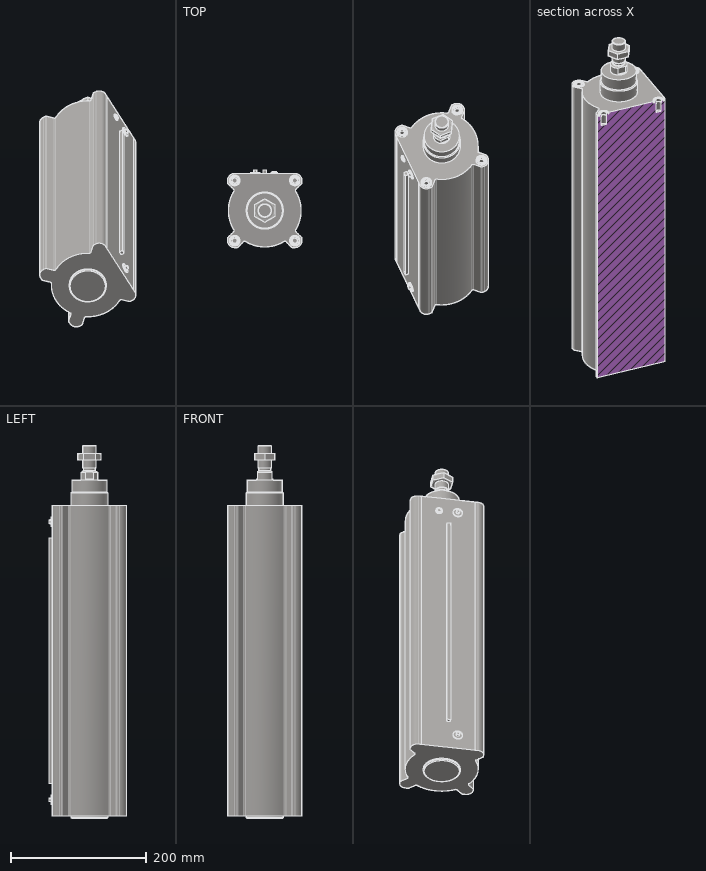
import cadquery as cq
import math

barrel_length = 459.0
barrel_radius = 54.0
lug_offset = 44.5
lug_radius = 10.5
lug_face = lug_radius * math.tan(math.radians(22.5))
flat_reach = lug_offset + lug_radius
corner_fillet = 2.0
lug_edge_fillet = 2.0

recess_diameter = 15.8
recess_depth = 3.0
bolt_head_diameter = 15.0
bolt_socket_diameter = 8.38
bolt_socket_depth = 5.0
bolt_thread_depth = 15.0
bolt_head_chamfer = 1.5
bolt_thread_diameter = 7.4

collar_diameter = 55.0
collar_chamfer = 1.5
top_collar_height = 20.0
bottom_collar_height = 3.5
neck_diameter = 52.0
neck_height = 17.5

rail_width = 5.5
rail_length = 363.0
fitting_reach = 5.0
fitting_offset = 14.0
screw_end_distance = 24.0
screw_base_diameter = 14.0
screw_base_height = 1.5
screw_head_diameter = 5.0
plug_base_diameter = 10.0
plug_base_height = 1.5
plug_top_diameter = 6.5
plug_height = 3.0

rod_diameter = 25.0
rod_flat_width = 22.0
rod_foot_height = 1.5
rod_body_height = 11.5
cone_height = 1.7
shoulder_diameter = 18.63
shoulder_height = 1.0
undercut_diameter = 17.9
undercut_height = 3.8
thread_diameter = 20.0
thread_core_diameter = 18.38
thread_length = 33.5

nut_width = 30.0
nut_thickness = 10.0
nut_face_diameter = 28.5
nut_chamfer_height = 0.5
nut_below_end = 12.0

neck_top = barrel_length + top_collar_height + neck_height
rod_top = (
    neck_top
    + rod_body_height
    + cone_height
    + shoulder_height
    + undercut_height
    + thread_length
)
nut_bottom = rod_top - nut_below_end - nut_thickness


def lug_profile():
    """Lug in the (+X, +Y) corner: rounded outside, 45 degree flanks running to the barrel axis."""
    axis = lug_offset
    inner = lug_offset - lug_face
    arc_mid = axis + lug_radius * math.sqrt(0.5)
    flank_end = flat_reach - inner
    return (
        cq.Workplane("XY")
        .moveTo(inner, flat_reach)
        .lineTo(axis, flat_reach)
        .threePointArc((arc_mid, arc_mid), (flat_reach, axis))
        .lineTo(flat_reach, inner)
        .lineTo(flank_end, 0)
        .lineTo(0, 0)
        .lineTo(0, flank_end)
        .close()
    )


def make_lug():
    lug = lug_profile().extrude(barrel_length)
    inner = lug_offset - lug_face
    for x, y in ((flat_reach, inner), (inner, flat_reach)):
        flank_edge = cq.selectors.NearestToPointSelector((x, y, barrel_length / 2))
        lug = lug.edges("|Z").edges(flank_edge).fillet(lug_edge_fillet)
    return lug


def lug_corners():
    """Points where the lug flanks leave the tube, without the two that the back fills."""
    along = math.sqrt(barrel_radius ** 2 - lug_radius ** 2)
    near = (along - lug_radius) * math.sqrt(0.5)
    far = (along + lug_radius) * math.sqrt(0.5)
    corners = []
    for side in (-1, 1):
        corners += [(side * far, near), (side * far, -near), (side * near, -far)]
    return corners


def barrel_body():
    body = cq.Workplane("XY").circle(barrel_radius).extrude(barrel_length)
    lug = make_lug()
    for quarter in range(4):
        body = body.union(lug.rotate((0, 0, 0), (0, 0, 1), 90 * quarter))
    flat_back = (
        cq.Workplane("XY")
        .center(0, flat_reach / 2)
        .rect(2 * (lug_offset - lug_face), flat_reach)
        .extrude(barrel_length)
    )
    body = body.union(flat_back)
    for x, y in lug_corners():
        corner_edge = cq.selectors.NearestToPointSelector((x, y, barrel_length / 2))
        body = body.edges("|Z").edges(corner_edge).fillet(corner_fillet)
    return body


def bolt_recess():
    """Space around one tie bolt: a groove around its chamfered head and a stepped bore inside it."""
    head = (
        cq.Workplane("XY")
        .circle(bolt_head_diameter / 2)
        .extrude(-recess_depth)
        .faces(">Z")
        .chamfer(bolt_head_chamfer)
    )
    counterbore = cq.Workplane("XY").circle(recess_diameter / 2).extrude(-recess_depth)
    socket = cq.Workplane("XY").circle(bolt_socket_diameter / 2).extrude(-bolt_socket_depth)
    thread_end = bolt_socket_depth + bolt_thread_depth
    thread = cq.Workplane("XY").circle(bolt_thread_diameter / 2).extrude(-thread_end)
    return counterbore.cut(head).union(socket).union(thread)


def collars():
    bottom = (
        cq.Workplane("XY")
        .circle(collar_diameter / 2)
        .extrude(-bottom_collar_height)
        .faces("<Z")
        .chamfer(collar_chamfer)
    )
    top = (
        cq.Workplane("XY", origin=(0, 0, barrel_length))
        .circle(collar_diameter / 2)
        .extrude(top_collar_height)
        .faces(">Z")
        .chamfer(collar_chamfer)
        .faces(">Z")
        .workplane()
        .circle(neck_diameter / 2)
        .extrude(neck_height)
    )
    return bottom, top


def back_disc(x, z, diameter, height):
    """Disc standing on the +Y flat."""
    return (
        cq.Workplane("XZ", origin=(x, flat_reach, z))
        .circle(diameter / 2)
        .extrude(-height)
    )


def back_fittings():
    rail = (
        cq.Workplane("XY")
        .box(rail_width, fitting_reach, rail_length)
        .translate((0, flat_reach + fitting_reach / 2, barrel_length / 2))
    )
    fittings = [rail]
    upper = barrel_length - screw_end_distance
    for z in (screw_end_distance, upper):
        fittings.append(back_disc(-fitting_offset, z, screw_base_diameter, screw_base_height))
        fittings.append(back_disc(-fitting_offset, z, screw_head_diameter, fitting_reach))
    fittings.append(back_disc(fitting_offset, upper, plug_base_diameter, plug_base_height))
    fittings.append(back_disc(fitting_offset, upper, plug_top_diameter, plug_height))
    return fittings


def make_housing():
    body = barrel_body()
    recess = bolt_recess()
    for x in (-lug_offset, lug_offset):
        for y in (-lug_offset, lug_offset):
            body = body.cut(recess.translate((x, y, barrel_length)))
    for feature in (*collars(), *back_fittings()):
        body = body.union(feature)
    return body


def make_rod():
    body = (
        cq.Workplane("XY", origin=(0, 0, neck_top))
        .circle(rod_diameter / 2)
        .extrude(rod_body_height)
    )
    flats = (
        cq.Workplane("XY", origin=(0, 0, neck_top))
        .rect(rod_flat_width, 2 * rod_diameter)
        .extrude(rod_top - neck_top)
    )
    foot = (
        cq.Workplane("XY", origin=(0, 0, neck_top))
        .circle(rod_diameter / 2)
        .extrude(rod_foot_height)
    )
    cone_base = neck_top + rod_body_height
    cone = (
        cq.Workplane("XY", origin=(0, 0, cone_base))
        .circle(rod_diameter / 2)
        .workplane(offset=cone_height)
        .circle(shoulder_diameter / 2)
        .loft()
    )
    end = (
        cq.Workplane("XY", origin=(0, 0, cone_base + cone_height))
        .circle(shoulder_diameter / 2)
        .extrude(shoulder_height)
        .faces(">Z")
        .workplane()
        .circle(undercut_diameter / 2)
        .extrude(undercut_height)
        .faces(">Z")
        .workplane()
        .circle(thread_diameter / 2)
        .extrude(thread_length)
        .faces(">Z")
        .chamfer((thread_diameter - thread_core_diameter) / 2)
    )
    return body.union(cone).intersect(flats).union(foot).union(end)


def make_nut():
    """Hexagon nut with corners on +Y and -Y and conically chamfered end faces."""
    across_corners = nut_width / math.cos(math.radians(30))
    hexagon = (
        cq.Workplane("XY", origin=(0, 0, nut_bottom))
        .polygon(6, across_corners)
        .extrude(nut_thickness)
        .rotate((0, 0, 0), (0, 0, 1), 30)
    )
    face_radius = nut_face_diameter / 2
    corner_radius = across_corners / 2
    nut_top = nut_bottom + nut_thickness
    chamfer_envelope = (
        cq.Workplane("XZ")
        .moveTo(0, nut_bottom)
        .lineTo(face_radius, nut_bottom)
        .lineTo(corner_radius, nut_bottom + nut_chamfer_height)
        .lineTo(corner_radius, nut_top - nut_chamfer_height)
        .lineTo(face_radius, nut_top)
        .lineTo(0, nut_top)
        .close()
        .revolve(360, (0, 0, 0), (0, 1, 0))
    )
    bore = (
        cq.Workplane("XY", origin=(0, 0, nut_bottom))
        .circle(thread_diameter / 2)
        .extrude(nut_thickness)
    )
    return hexagon.intersect(chamfer_envelope).cut(bore)


housing = make_housing()
rod = make_rod()
nut = make_nut()

result = cq.Compound.makeCompound([*housing.solids().vals(), *rod.solids().vals(), *nut.solids().vals()])